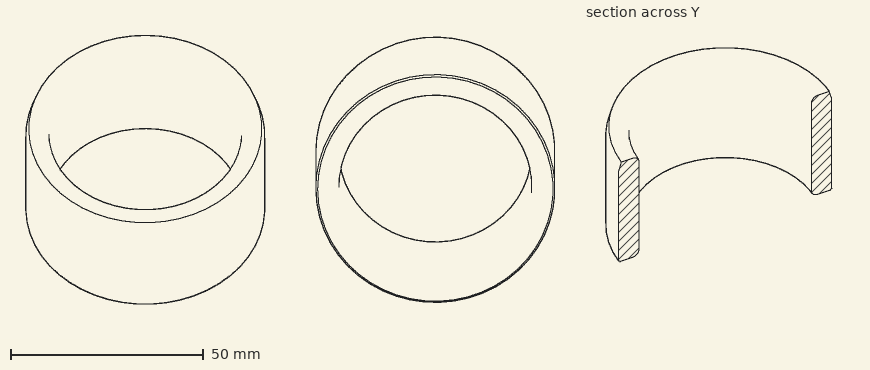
import cadquery as cq
import math

outer_diameter = 62
bore_diameter = 50.0
height = 35.0

lead_in_height = 3.0
lead_in_angle = 15
bore_fillet = 2.0
bottom_chamfer = 0.5

outer_radius = outer_diameter / 2
bore_radius = bore_diameter / 2
lead_in_depth = lead_in_height * math.tan(math.radians(lead_in_angle))


def ring_blank():
    """Revolve the ring wall, with a tapered lead-in at the outer top edge."""
    return (
        cq.Workplane("XZ")
        .moveTo(bore_radius, 0)
        .lineTo(outer_radius - bottom_chamfer, 0)
        .lineTo(outer_radius, bottom_chamfer)
        .lineTo(outer_radius, height - lead_in_height)
        .lineTo(outer_radius - lead_in_depth, height)
        .lineTo(bore_radius, height)
        .close()
        .revolve(360, (0, 0, 0), (0, 1, 0))
    )


def round_bore_mouths(ring):
    """Round the bore edge at both ends of the ring."""
    bore_edge = cq.selectors.RadiusNthSelector(0)
    for end_face in (">Z", "<Z"):
        ring = ring.faces(end_face).edges(bore_edge).fillet(bore_fillet)
    return ring


result = round_bore_mouths(ring_blank())